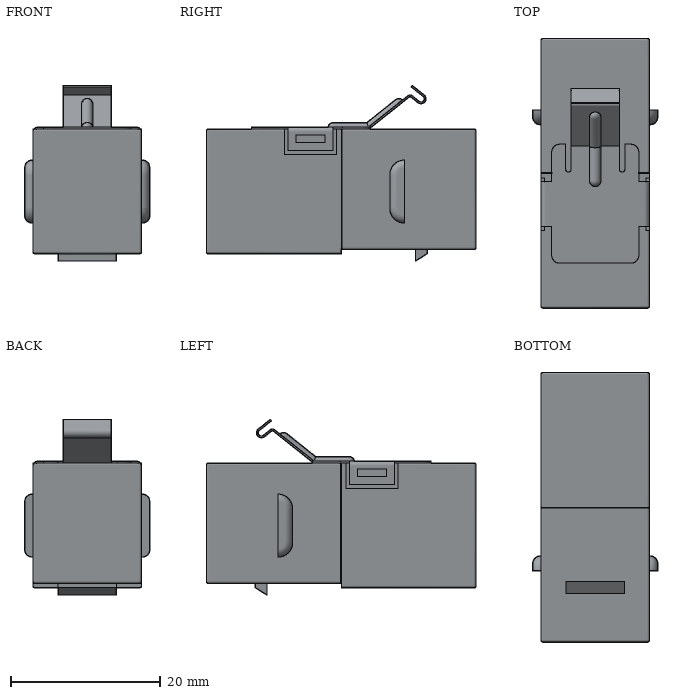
import cadquery as cq
import math

BOX_WIDTH = 14.6
BOX_HEIGHT = 16.75
PIECE_LENGTH = 18.1
REAR_UNDERCUT = 0.58
EDGE_RADIUS = 0.3
SEAM_GROOVE = 0.1

RECESS_START = 0.6
RECESS_LENGTH = 7.02
RECESS_HEIGHT = 3.45
RECESS_DEPTH = 0.47

SHEET = 0.25
PLATE_WIDTH = 11.7
PLATE_REAR = 3.9
PLATE_FRONT = -12.05
PLATE_CORNER_RADIUS = 1.1
SLOT_WIDTH = 0.75
SLOT_END = 0.18

TAB_GAP = 0.5
TAB_DROP = 2.9
TAB_BEND_RADIUS = 0.65
WINDOW_LENGTH = 3.87
WINDOW_HEIGHT = 1.0
WINDOW_TOP_DROP = 0.8
WINDOW_DEPTH = 0.3

TONGUE_WIDTH = 6.45
TONGUE_SLOPE = math.radians(38.5)
FOLD_Y = 3.7
PEAK_Y = 9.23
PEAK_RADIUS = 0.3
DROP_LENGTH = 1.45
HOOK_RADIUS = 0.55
RETURN_LENGTH = 2.03

RIB_WIDTH = 1.52
RIB_HEIGHT = 0.6
RIB_EDGE_RADIUS = 0.7
RIB_FRONT_Y = -1.0
RIB_TIP_Y = 7.7

BUMP_REAR_Y = 8.5
BUMP_CORNER_RADIUS = 2.0
BUMP_EDGE_RADIUS = 1.0
OVERALL_WIDTH = 16.8
BUMP_STRAIGHT = 4.5
BUMP_CENTER_Z = 8.35

CATCH_WIDTH = 7.8
CATCH_FRONT_Y = 9.95
CATCH_LENGTH = 1.6
CATCH_FRONT_DROP = 1.55
CATCH_REAR_DROP = 0.55

EMBED = 0.35

HALF_WIDTH = BOX_WIDTH / 2
BUMP_HEIGHT = (OVERALL_WIDTH - BOX_WIDTH) / 2
PLATE_MID_Z = BOX_HEIGHT + SHEET / 2
TONGUE_RISE = math.tan(TONGUE_SLOPE)
RECESS_CENTER_Y = -RECESS_START - RECESS_LENGTH / 2


def block(size_x, size_y, size_z, x, y, top):
    """Box centered on x and y, with its upper face at top."""
    return cq.Workplane().box(size_x, size_y, size_z).translate((x, y, top - size_z / 2))


def housing():
    half_length = PIECE_LENGTH / 2
    front = block(BOX_WIDTH, PIECE_LENGTH, BOX_HEIGHT, 0, -half_length, BOX_HEIGHT)
    front = front.edges("|Y or <Y").fillet(EDGE_RADIUS)
    land = block(BOX_WIDTH, RECESS_START, RECESS_HEIGHT, 0, -RECESS_START / 2, BOX_HEIGHT)
    rear_height = BOX_HEIGHT - REAR_UNDERCUT
    rear = block(BOX_WIDTH, PIECE_LENGTH, rear_height, 0, half_length, BOX_HEIGHT)
    rear = rear.edges("|Y or >Y").fillet(EDGE_RADIUS)
    groove = block(BOX_WIDTH, SEAM_GROOVE, rear_height, 0, SEAM_GROOVE / 2, BOX_HEIGHT)
    floor_width = BOX_WIDTH - 2 * SEAM_GROOVE
    floor_height = rear_height - 2 * SEAM_GROOVE
    floor_top = BOX_HEIGHT - SEAM_GROOVE
    groove_floor = block(floor_width, SEAM_GROOVE, floor_height, 0, SEAM_GROOVE / 2, floor_top)
    body = front.union(land).union(rear.cut(groove)).union(groove_floor)
    for side in (-1, 1):
        x = side * (HALF_WIDTH - RECESS_DEPTH / 2)
        recess = block(RECESS_DEPTH, RECESS_LENGTH, RECESS_HEIGHT, x, RECESS_CENTER_Y, BOX_HEIGHT)
        body = body.cut(recess)
    return body


def plate():
    top = BOX_HEIGHT + SHEET
    length = PLATE_REAR - PLATE_FRONT
    sheet = block(PLATE_WIDTH, length, SHEET, 0, (PLATE_REAR + PLATE_FRONT) / 2, top)
    sheet = sheet.edges("|Z").fillet(PLATE_CORNER_RADIUS)
    tip_length = PLATE_REAR - FOLD_Y
    sheet = sheet.cut(block(TONGUE_WIDTH, tip_length, SHEET, 0, FOLD_Y + tip_length / 2, top))
    slot_center_y = SLOT_END + SLOT_WIDTH / 2
    slot_length = PLATE_REAR - slot_center_y
    for side in (-1, 1):
        x = side * (TONGUE_WIDTH + SLOT_WIDTH) / 2
        sheet = sheet.cut(block(SLOT_WIDTH, slot_length, SHEET, x, slot_center_y + slot_length / 2, top))
        slot_round = cq.Workplane().circle(SLOT_WIDTH / 2).extrude(SHEET)
        sheet = sheet.cut(slot_round.translate((x, slot_center_y, BOX_HEIGHT)))
    return sheet


def tabs():
    """Cross-strap whose rounded shoulders and ends fill the depth of the recesses."""
    top = BOX_HEIGHT + SHEET
    length = RECESS_LENGTH - 2 * TAB_GAP
    strap = block(BOX_WIDTH, length, TAB_DROP + SHEET, 0, RECESS_CENTER_Y, top)
    strap = strap.edges("|Y and >Z").fillet(TAB_BEND_RADIUS)
    for side in (-1, 1):
        x = side * (HALF_WIDTH - WINDOW_DEPTH / 2)
        window_top = BOX_HEIGHT - WINDOW_TOP_DROP
        window = block(WINDOW_DEPTH, WINDOW_LENGTH, WINDOW_HEIGHT, x, RECESS_CENTER_Y, window_top)
        strap = strap.cut(window)
    return strap


def tongue():
    """Sheet swept along its mid-line: up the slope, over the peak, around the hook and back."""
    along, rise = math.cos(TONGUE_SLOPE), math.sin(TONGUE_SLOPE)
    peak_z = PLATE_MID_Z + (PEAK_Y - FOLD_Y) * TONGUE_RISE
    tangent = PEAK_RADIUS * TONGUE_RISE
    peak_top_z = peak_z - PEAK_RADIUS * (1 / along - 1)
    hook_start = (PEAK_Y + DROP_LENGTH * along, peak_z - DROP_LENGTH * rise)
    hook_center = (hook_start[0] + HOOK_RADIUS * rise, hook_start[1] + HOOK_RADIUS * along)
    hook_middle = (hook_center[0] + HOOK_RADIUS * along, hook_center[1] - HOOK_RADIUS * rise)
    hook_end = (hook_center[0] + HOOK_RADIUS * rise, hook_center[1] + HOOK_RADIUS * along)
    path = (
        cq.Workplane("YZ")
        .moveTo(FOLD_Y, PLATE_MID_Z)
        .lineTo(PEAK_Y - tangent * along, peak_z - tangent * rise)
        .threePointArc((PEAK_Y, peak_top_z), (PEAK_Y + tangent * along, peak_z - tangent * rise))
        .lineTo(*hook_start)
        .threePointArc(hook_middle, hook_end)
        .lineTo(hook_end[0] - RETURN_LENGTH * along, hook_end[1] + RETURN_LENGTH * rise)
    )
    start = cq.Plane(origin=(0, FOLD_Y, PLATE_MID_Z), xDir=(1, 0, 0), normal=(0, along, rise))
    strip = cq.Workplane(start).rect(TONGUE_WIDTH, SHEET).sweep(path)
    fold = cq.Workplane("YZ").center(FOLD_Y, PLATE_MID_Z).circle(SHEET / 2)
    fold = fold.extrude(TONGUE_WIDTH / 2, both=True)
    return strip.union(fold)


def rib_leg(length):
    """One straight part of the rib, running along +Y from Y = 0 to a rounded end, based on Z = 0."""
    half = RIB_WIDTH / 2
    return (
        cq.Workplane()
        .moveTo(-half, 0)
        .lineTo(-half, length)
        .threePointArc((0, length + half), (half, length))
        .lineTo(half, 0)
        .close()
        .extrude(SHEET / 2 + RIB_HEIGHT)
        .faces(">Z")
        .edges("not <Y")
        .fillet(RIB_EDGE_RADIUS)
    )


def rib():
    """Two legs meeting at the fold, standing on the middle of the sheet."""
    flat_leg = rib_leg(FOLD_Y - RIB_FRONT_Y).mirror("XZ")
    sloping_leg = rib_leg((RIB_TIP_Y - FOLD_Y) / math.cos(TONGUE_SLOPE))
    sloping_leg = sloping_leg.rotate((0, 0, 0), (1, 0, 0), math.degrees(TONGUE_SLOPE))
    return flat_leg.union(sloping_leg).translate((0, FOLD_Y, PLATE_MID_Z))


def bump():
    """Bump on the +X side."""
    half_straight = BUMP_STRAIGHT / 2
    half_total = half_straight + BUMP_CORNER_RADIUS
    front_y = BUMP_REAR_Y - BUMP_CORNER_RADIUS
    diagonal = BUMP_CORNER_RADIUS * math.sqrt(0.5)
    solid = (
        cq.Workplane("YZ", origin=(HALF_WIDTH - EMBED, 0, BUMP_CENTER_Z))
        .moveTo(BUMP_REAR_Y, -half_total)
        .lineTo(BUMP_REAR_Y, half_total)
        .threePointArc((BUMP_REAR_Y - diagonal, half_straight + diagonal), (front_y, half_straight))
        .lineTo(front_y, -half_straight)
        .threePointArc((BUMP_REAR_Y - diagonal, -half_straight - diagonal), (BUMP_REAR_Y, -half_total))
        .close()
        .extrude(BUMP_HEIGHT + EMBED)
    )
    return solid.faces(">X").edges("not >Y").fillet(BUMP_EDGE_RADIUS)


def catch():
    rear_y = CATCH_FRONT_Y + CATCH_LENGTH
    base = REAR_UNDERCUT
    outline = [
        (CATCH_FRONT_Y, base + EMBED),
        (CATCH_FRONT_Y, base - CATCH_FRONT_DROP),
        (rear_y, base - CATCH_REAR_DROP),
        (rear_y, base + EMBED),
    ]
    return cq.Workplane("YZ").polyline(outline).close().extrude(CATCH_WIDTH / 2, both=True)


result = housing().union(plate()).union(tabs()).union(tongue()).union(rib()).union(catch())
side_bump = bump()
result = result.union(side_bump).union(side_bump.mirror("YZ"))